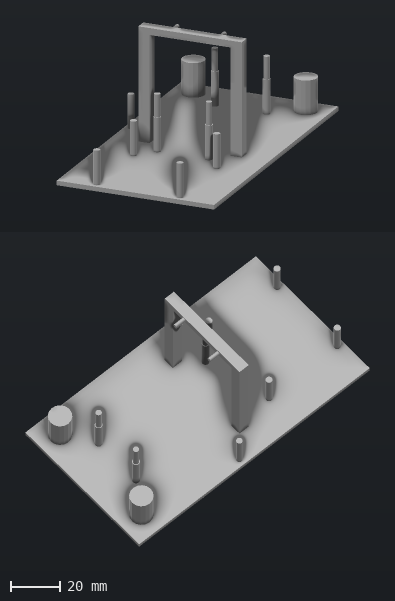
import cadquery as cq

plate_width = 70.0
plate_length = 125.0
plate_thickness = 2.0

standoff_height = 15.0
pin_height = 10.0
total_height = 52.0

foot_diameter = 10.0
foot_sides = 16
foot_inset = 10.0

board_hole_spacing_x = 23.0
board_hole_spacing_y = 58.0
board_front_y = 48.0
standoff_diameter = 3.2
locating_pin_diameter = 2.6

post_diameter = 2.9
post_spacing = 37.0
post_front_y = 3.0

side_post_diameter = 2.7
side_post_x = 3.0
side_post_y = 68.0

leg_size = 5.0
frame_width = 46.0
frame_front_y = 55.0
beam_height = 3.0

beam_pin_diameter = 2.0
beam_pin_length = 5.0
beam_pin_spacing = 21.0
beam_pin_offset_x = 0.5

center_x = plate_width / 2
foot_spacing = plate_width - 2 * foot_inset
foot_y = plate_length - foot_inset
standoff_top = plate_thickness + standoff_height
leg_height = total_height - plate_thickness
beam_bottom = total_height - beam_height


def mirrored_places(middle, spacing):
    return (middle - spacing / 2, middle + spacing / 2)


def block(x, y, z, size_x, size_y, size_z):
    return cq.Workplane("XY", origin=(x, y, z)).box(size_x, size_y, size_z, centered=False)


def upright_cylinder(x, y, bottom, diameter, height):
    return cq.Workplane("XY", origin=(x, y, bottom)).circle(diameter / 2).extrude(height)


def plain_post(x, y, diameter):
    return upright_cylinder(x, y, plate_thickness, diameter, standoff_height)


def stepped_post(x, y):
    standoff = plain_post(x, y, standoff_diameter)
    return standoff.union(upright_cylinder(x, y, standoff_top, locating_pin_diameter, pin_height))


def foot(x, y):
    plane = cq.Workplane("XY", origin=(x, y, plate_thickness))
    return plane.polygon(foot_sides, foot_diameter).extrude(standoff_height)


def beam_pin(x):
    start = (x, frame_front_y + leg_size, total_height - beam_height / 2)
    return cq.Workplane("XZ", origin=start).circle(beam_pin_diameter / 2).extrude(-beam_pin_length)


def portal_frame():
    left_x = center_x - frame_width / 2
    frame = block(left_x, frame_front_y, beam_bottom, frame_width, leg_size, beam_height)
    for leg_x in (left_x, left_x + frame_width - leg_size):
        leg = block(leg_x, frame_front_y, plate_thickness, leg_size, leg_size, leg_height)
        frame = frame.union(leg)
    for pin_x in mirrored_places(center_x + beam_pin_offset_x, beam_pin_spacing):
        frame = frame.union(beam_pin(pin_x))
    return frame


result = block(0, 0, 0, plate_width, plate_length, plate_thickness)
result = result.union(portal_frame())
result = result.union(plain_post(side_post_x, side_post_y, side_post_diameter))

for foot_x in mirrored_places(center_x, foot_spacing):
    result = result.union(foot(foot_x, foot_y))

for board_x in mirrored_places(center_x, board_hole_spacing_x):
    for board_y in (board_front_y, board_front_y + board_hole_spacing_y):
        result = result.union(stepped_post(board_x, board_y))

for post_x in mirrored_places(center_x, post_spacing):
    for post_y in (post_front_y, post_front_y + post_spacing):
        result = result.union(plain_post(post_x, post_y, post_diameter))